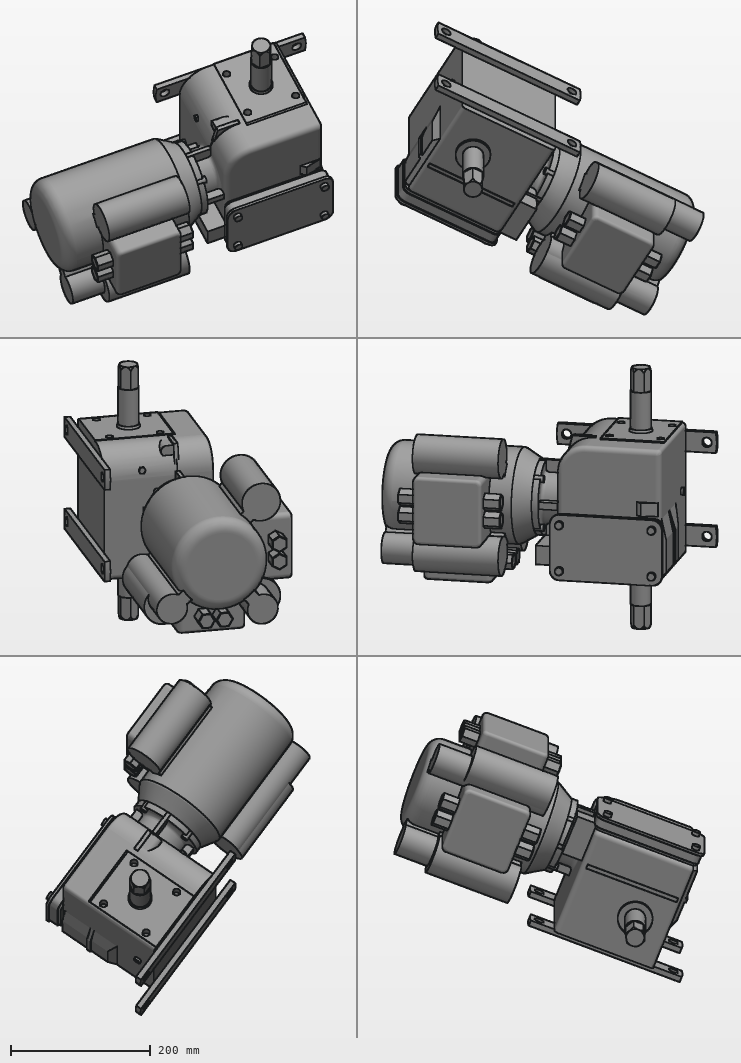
import cadquery as cq
import math


shaft_length = 385.0
shaft_radius = 15.0
drive_length = 34.5
drive_chamfer_length = 5.5
drive_chamfer_depth = 2.0

house_left = -61.5
house_right = 101.5
house_front = -100.5
house_back = 52.0
house_top = 97.3
house_bottom = -97.3
left_nose_radius = 45.0
right_nose_radius = 41.4
house_edge_radius = 8.0
house_back_radius = 5.5
pad_height = 1.4
pad_right = 57.3
pad_right_slope = 2.8
pad_front = -47.0
pad_back = 46.7
pad_hole_pitch = 75.0
pad_hole_diameter = 10.5
pad_hole_depth = 18.0
drill_point_angle = 118.0
top_seal_radius = 17.5
top_seal_height = 4.0
top_seal_taper = 20.0
bottom_seal_radius = 25.0
bottom_seal_height = 4.5

strap_thickness = 8.5
strap_width = 30.4
strap_length = 234.8
strap_front = -137.6
strap_end_bulge = 1.5
strap_pitch = 139.4
strap_hole_pitch = 206.0
strap_hole_diameter = 14.0
strap_hole_inset = (strap_length - strap_hole_pitch) / 2

gasket_width = 4.1
cover_width = 13.8
cover_flange_width = 4.2
cover_front = -106.0
cover_back = 58.5
cover_bottom = -97.0
cover_top = 0.0
cover_step = 2.5
cover_corner_radius = 14.0
cover_bolt_diameter = 11.5
cover_bolt_height = 5.5
cover_bolt_inset = 14.5

wedge_depth = 6.0
wedge_back = 48.0
wedge_peak = 24.0
wedge_front = 17.0
wedge_height = 20.0

rib_width = 6.3
rib_bend_front = -89.5
rib_knee_height = 50.0
bottom_rib_height = 1.4
lug_left = 25.5
lug_bottom = 80.0
lug_top = 96.5
lug_front = -89.5
lug_depth = 30.0
lug_radius = 8.0
rear_pad_left = 3.3
rear_pad_right = 95.0
rear_pad_depth = 6.5
rear_pad_slope = 12.0
rear_pad_bottom = -92.0
rear_pad_top = -5.0
rear_pad_ramp = 30.0
rear_rib_extra = 2.7
front_plug_x = -5.0
front_plug_z = 65.5
front_plug_flats = 9.0
front_plug_length = 20.0
rear_plug_x = -34.0
rear_plug_z = 3.0
rear_plug_diameter = 11.0
rear_plug_height = 3.7

motor_x = 47.0
motor_z = 4.8
neck_radius = 38.0
neck_fillet = 5.5
flange_radius = 55.0
flange_back = -127.9
flange_front = -137.6
side_rib_reach = 50.4
side_rib_width = 10.4
upright_rib_reach = 56.0
flange_boss_radius = 5.0
flange_boss_length = 14.0
flange_boss_overhang = 1.0
bracket_reach = 59.5
bracket_length = 30.0
bracket_bottom = -80.0
bracket_top = -52.0

motor_radius = 70.0
cone_end_radius = 69.0
cone_front = -161.1
shoulder_front = -163.8
motor_front = -357.1
motor_end_radius = 51.0
motor_round_length = 18.0
capacitor_back = -176.3
large_capacitor_radius = 28.4
large_capacitor_offset = 72.2
large_capacitor_length = 125.6
small_capacitor_radius = 22.5
small_capacitor_length = 175.3
small_left_place = (-72.2, -60.2)
small_right_place = (61.8, -72.2)
capacitor_web_width = 20.0

box_reach = 119.5
box_width = 100.0
box_back = -197.0
box_length = 100.8
box_corner_radius = 8.0
box_rim_radius = 5.0
gland_reach = 94.3
gland_pitch = 26.6
gland_flats = 21.5
gland_length = 149.8
gland_chamfer = 1.0


def block(x_range, y_range, z_range):
    """Box between the given limits along each axis."""
    size = [high - low for low, high in (x_range, y_range, z_range)]
    middle = tuple((low + high) / 2 for low, high in (x_range, y_range, z_range))
    return cq.Workplane("XY").box(*size).translate(middle)


def rod_y(radius, x, z, y_back, y_front):
    """Cylinder along Y."""
    return cq.Workplane("XZ", origin=(x, y_back, z)).circle(radius).extrude(y_back - y_front)


def hex_rod_y(flats, x, z, y_back, y_front, turn=0.0):
    """Hexagonal bar along Y; with no turn its corners point along X."""
    corner_diameter = flats / math.cos(math.pi / 6)
    bar = cq.Workplane("XZ").polygon(6, corner_diameter).extrude(y_back - y_front)
    return bar.rotate((0, 0, 0), (0, 1, 0), turn).translate((x, y_back, z))


def make_shaft():
    """Round shaft with a hexagonal drive at each end."""
    half_length = shaft_length / 2
    round_half = half_length - drive_length
    shaft = cq.Workplane("XY").circle(shaft_radius).extrude(round_half, both=True)
    hexagon = cq.Workplane("XY").polygon(6, 2 * shaft_radius).extrude(half_length, both=True)
    hexagon = hexagon.rotate((0, 0, 0), (0, 0, 1), 90)
    drive_limit = cq.Workplane("XY").circle(shaft_radius).extrude(half_length, both=True)
    drive_limit = drive_limit.faces("<Z or >Z").chamfer(drive_chamfer_length, drive_chamfer_depth)
    return shaft.union(hexagon.intersect(drive_limit))


def house_part(left, right, nose_radius):
    """Length of the housing along X, with its upper front edge rolled over."""
    nose_45 = nose_radius * (1 - math.sqrt(0.5))
    part = (
        cq.Workplane("YZ", origin=(left, 0, 0))
        .moveTo(house_back, house_bottom)
        .lineTo(house_back, house_top)
        .lineTo(house_front + nose_radius, house_top)
        .threePointArc(
            (house_front + nose_45, house_top - nose_45),
            (house_front, house_top - nose_radius),
        )
        .lineTo(house_front, house_bottom)
        .close()
        .extrude(right - left)
    )
    part = part.edges("|X and >Y").fillet(house_back_radius)
    return part.edges("|X and <Z and <Y").fillet(house_edge_radius)


def make_housing_shell():
    """Main casting: two lengths meeting at the seam, and a raised pad around the shaft."""
    right_part = house_part(motor_x, house_right, right_nose_radius)
    right_part = right_part.faces(">X").edges().fillet(house_edge_radius)
    pad = (
        cq.Workplane("XZ", origin=(0, pad_back, 0))
        .polyline(
            [
                (house_left, house_top - pad_height),
                (house_left, house_top + pad_height),
                (pad_right - pad_right_slope, house_top + pad_height),
                (pad_right, house_top),
                (pad_right, house_top - pad_height),
            ]
        )
        .close()
        .extrude(pad_back - pad_front)
    )
    return house_part(house_left, motor_x, left_nose_radius).union(right_part).union(pad)


def make_pad_holes():
    """Blind drilled holes around the shaft."""
    radius = pad_hole_diameter / 2
    tip = radius / math.tan(math.radians(drill_point_angle / 2))
    top = house_top + pad_height
    drill = (
        cq.Workplane("XZ")
        .polyline([(0, top), (radius, top), (radius, top - pad_hole_depth), (0, top - pad_hole_depth - tip)])
        .close()
        .revolve(360, (0, 0, 0), (0, 1, 0))
    )
    holes = cq.Workplane("XY")
    for x in (-pad_hole_pitch / 2, pad_hole_pitch / 2):
        for y in (-pad_hole_pitch / 2, pad_hole_pitch / 2):
            holes = holes.union(drill.translate((x, y, 0)))
    return holes


def make_strap(z):
    """Flat mounting strap with two holes and slightly bowed ends."""
    half_width = strap_width / 2
    front = strap_front + strap_end_bulge
    back = strap_front + strap_length - strap_end_bulge
    strap = (
        cq.Workplane("YZ", origin=(house_left - strap_thickness, 0, z))
        .moveTo(front, -half_width)
        .lineTo(back, -half_width)
        .threePointArc((back + strap_end_bulge, 0), (back, half_width))
        .lineTo(front, half_width)
        .threePointArc((front - strap_end_bulge, 0), (front, -half_width))
        .close()
        .extrude(strap_thickness)
    )
    front_hole = strap_front + strap_hole_inset
    holes = (
        cq.Workplane("YZ", origin=(house_left - strap_thickness, 0, z))
        .pushPoints([(front_hole, 0), (front_hole + strap_hole_pitch, 0)])
        .circle(strap_hole_diameter / 2)
        .extrude(strap_thickness)
    )
    return strap.cut(holes)


def make_cover():
    """Gasket step, cover body and flange stacked on the right side, with four bolt heads."""
    cover_length = cover_back - cover_front
    cover_height = cover_top - cover_bottom
    cover_middle = (cover_back + cover_front) / 2
    cover_middle_z = (cover_top + cover_bottom) / 2

    def layer(x, width, inset):
        plate = cq.Workplane("YZ", origin=(x, cover_middle, cover_middle_z))
        plate = plate.rect(cover_length - 2 * inset, cover_height - 2 * inset).extrude(width)
        return plate.edges("|X").fillet(cover_corner_radius - inset)

    cover_left = house_right + gasket_width
    flange_left = cover_left + cover_width
    flange_right = flange_left + cover_flange_width
    bolts = (
        cq.Workplane("YZ", origin=(flange_right, cover_middle, cover_middle_z))
        .rect(
            cover_length - 2 * cover_bolt_inset,
            cover_height - 2 * cover_bolt_inset,
            forConstruction=True,
        )
        .vertices()
        .circle(cover_bolt_diameter / 2)
        .extrude(cover_bolt_height)
    )
    cover = layer(house_right, gasket_width, 2 * cover_step)
    cover = cover.union(layer(cover_left, cover_width, cover_step))
    cover = cover.union(layer(flange_left, cover_flange_width, 0))
    return cover.union(bolts)


def make_seam_rib():
    """Thin rib along the seam, over the rolled front edge and under the bottom of the housing."""
    top = house_top + pad_height
    inside = house_front + left_nose_radius
    knee_z = motor_z + rib_knee_height
    front_rib = (
        cq.Workplane("YZ", origin=(motor_x - rib_width / 2, 0, 0))
        .polyline([(inside, top), (rib_bend_front, top), (house_front, knee_z), (inside, knee_z)])
        .close()
        .extrude(rib_width)
    )
    bottom_rib = block(
        (motor_x - rib_width / 2, motor_x + rib_width / 2),
        (house_front + house_edge_radius, house_back - house_back_radius),
        (house_bottom - bottom_rib_height, house_bottom + bottom_rib_height),
    )
    return front_rib.union(bottom_rib)


def make_lug():
    """Rounded lug standing out of the rolled front edge, beside the seam rib."""
    lug = block((lug_left, motor_x), (lug_front, lug_front + lug_depth), (lug_bottom, lug_top))
    return lug.edges("|Y and <X").fillet(lug_radius)


def make_rear_pad():
    """Raised pad low on the back face, sloped at its left end and its top, with a rib across it."""

    def ramp(x, width, depth):
        return (
            cq.Workplane("YZ", origin=(x, house_back, 0))
            .moveTo(-house_edge_radius, rear_pad_top)
            .lineTo(0, rear_pad_top)
            .lineTo(depth, rear_pad_top - rear_pad_ramp)
            .lineTo(depth, rear_pad_bottom + depth)
            .lineTo(0, rear_pad_bottom)
            .lineTo(-house_edge_radius, rear_pad_bottom)
            .close()
            .extrude(width)
        )

    pad = ramp(rear_pad_left, rear_pad_right - rear_pad_left, rear_pad_depth)
    slope = (
        cq.Workplane("XY")
        .polyline(
            [
                (rear_pad_left, house_back),
                (rear_pad_left + rear_pad_slope, house_back + rear_pad_depth),
                (rear_pad_left, house_back + rear_pad_depth),
            ]
        )
        .close()
        .extrude(-2 * rear_pad_bottom, both=True)
    )
    rib = ramp(motor_x - rib_width / 2, rib_width, rear_pad_depth + rear_rib_extra)
    return pad.cut(slope).union(rib)


def make_plugs():
    """Hexagonal plug at the front and round plug at the back."""
    front_plug = hex_rod_y(
        front_plug_flats, front_plug_x, front_plug_z, house_front + front_plug_length, house_front
    )
    plug_outside = house_back + rear_plug_height
    plug_inside = house_back - rear_plug_height
    rear_plug = rod_y(rear_plug_diameter / 2, rear_plug_x, rear_plug_z, plug_outside, plug_inside)
    return front_plug.union(rear_plug)


def make_neck():
    """Round neck ending in the motor flange, with four ribs and four small flange bosses."""
    root_radius = neck_radius + neck_fillet
    inset_45 = neck_fillet * (1 - math.sqrt(0.5))
    neck = (
        cq.Workplane("XY")
        .moveTo(0, house_front)
        .lineTo(root_radius, house_front)
        .threePointArc(
            (neck_radius + inset_45, house_front - inset_45),
            (neck_radius, house_front - neck_fillet),
        )
        .lineTo(neck_radius, flange_back + neck_fillet)
        .threePointArc((neck_radius + inset_45, flange_back + inset_45), (root_radius, flange_back))
        .lineTo(flange_radius, flange_back)
        .lineTo(flange_radius, flange_front)
        .lineTo(0, flange_front)
        .close()
        .revolve(360, (0, 0, 0), (0, 1, 0))
    )
    ribs = cq.Workplane("XZ", origin=(0, house_front, 0))
    length = house_front - flange_front
    neck = neck.union(ribs.rect(2 * side_rib_reach, side_rib_width).extrude(length))
    neck = neck.union(ribs.rect(rib_width, 2 * upright_rib_reach).extrude(length))
    boss_place = flange_radius - flange_boss_radius + flange_boss_overhang
    boss = rod_y(flange_boss_radius, boss_place, 0, flange_front + flange_boss_length, flange_front)
    for angle in (45, 135, 225, 315):
        neck = neck.union(boss.rotate((0, 0, 0), (0, 1, 0), angle))
    return neck.translate((motor_x, 0, motor_z))


def make_neck_bracket():
    """Block under the right half of the neck."""
    return block(
        (motor_x, motor_x + bracket_reach),
        (house_front - bracket_length, house_front),
        (bracket_bottom, bracket_top),
    )


def make_side_wedge():
    """Tapered ledge on the right side of the housing, above the cover."""
    return (
        cq.Workplane("XY", origin=(0, 0, cover_top))
        .polyline(
            [
                (house_right - wedge_depth, wedge_back),
                (house_right, wedge_back),
                (house_right + wedge_depth, wedge_peak),
                (house_right, wedge_front),
                (house_right - wedge_depth, wedge_front),
            ]
        )
        .close()
        .extrude(wedge_height)
    )


def make_gearbox(shaft):
    gearbox = make_housing_shell()
    gearbox = gearbox.cut(make_pad_holes())
    pad_top = house_top + pad_height
    top_seal = cq.Workplane("XY", origin=(0, 0, house_top)).circle(top_seal_radius)
    gearbox = gearbox.union(top_seal.extrude(pad_top + top_seal_height - house_top, taper=top_seal_taper))
    bottom_seal = cq.Workplane("XY", origin=(0, 0, house_bottom)).circle(bottom_seal_radius)
    gearbox = gearbox.union(bottom_seal.extrude(-bottom_seal_height))
    for z in (-strap_pitch / 2, strap_pitch / 2):
        gearbox = gearbox.union(make_strap(z))
    features = [
        make_cover(),
        make_side_wedge(),
        make_seam_rib(),
        make_lug(),
        make_rear_pad(),
        make_plugs(),
        make_neck(),
        make_neck_bracket(),
    ]
    for feature in features:
        gearbox = gearbox.union(feature)
    return gearbox.cut(shaft)


def make_motor_body():
    """Round motor casing with a conical back and a rounded front end."""
    round_start = motor_front + motor_round_length
    round_width = motor_radius - motor_end_radius
    return (
        cq.Workplane("XY")
        .moveTo(0, flange_front)
        .lineTo(flange_radius, flange_front)
        .lineTo(cone_end_radius, cone_front)
        .lineTo(motor_radius, shoulder_front)
        .lineTo(motor_radius, round_start)
        .threePointArc(
            (
                motor_end_radius + round_width * math.sqrt(0.5),
                round_start - motor_round_length * math.sqrt(0.5),
            ),
            (motor_end_radius, motor_front),
        )
        .lineTo(0, motor_front)
        .close()
        .revolve(360, (0, 0, 0), (0, 1, 0))
    )


def make_capacitor(x, z, radius, length):
    """Round capacitor can, joined to the motor axis by a flat web."""
    front = capacitor_back - length
    web_length = math.hypot(x, z)
    web = block((0, web_length), (front, capacitor_back), (-capacitor_web_width / 2, capacitor_web_width / 2))
    web = web.rotate((0, 0, 0), (0, 1, 0), -math.degrees(math.atan2(z, x)))
    return rod_y(radius, x, z, capacitor_back, front).union(web)


def make_terminal_box():
    """Terminal box on the right of the motor, with two cable glands at each end."""
    box = block((0, box_reach), (box_back - box_length, box_back), (-box_width / 2, box_width / 2))
    box = box.edges("|X").fillet(box_corner_radius)
    box = box.faces(">X").edges().fillet(box_rim_radius)
    gland_back = box_back - box_length / 2 + gland_length / 2
    for z in (-gland_pitch / 2, gland_pitch / 2):
        gland = hex_rod_y(gland_flats, gland_reach, z, gland_back, gland_back - gland_length, 30)
        box = box.union(gland.faces("<Y or >Y").chamfer(gland_chamfer))
    return box


def make_motor():
    """Motor built around the Y axis, then moved onto its own axis."""
    motor = make_motor_body()
    offset = large_capacitor_offset
    for x, z in ((offset, offset), (offset, -offset), (-offset, -offset)):
        motor = motor.union(make_capacitor(x, z, large_capacitor_radius, large_capacitor_length))
    for x, z in (small_left_place, small_right_place):
        motor = motor.union(make_capacitor(x, z, small_capacitor_radius, small_capacitor_length))
    for angle in (0, 90):
        motor = motor.union(make_terminal_box().rotate((0, 0, 0), (0, 1, 0), angle))
    return motor.translate((motor_x, 0, motor_z))


shaft = make_shaft()
gearbox = make_gearbox(shaft)
motor = make_motor()

result = cq.Compound.makeCompound([gearbox.val(), *shaft.vals(), motor.val()])